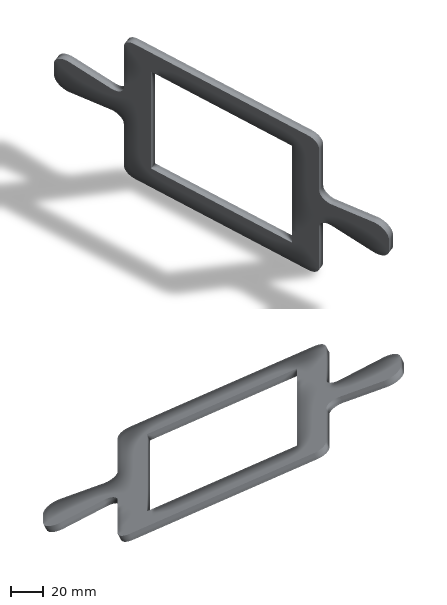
import cadquery as cq

overall_length = 243.5
thickness = 4.6

frame_side = 142.0
window_side = 102.2
frame_corner_radius = 8.0

root_width = 19.5
tip_width = 35.0
root_fillet_radius = 8.0
tip_corner_radius = 10.0


def extrude_centered(outline):
    """Extrude an XZ outline symmetrically about the XZ plane."""
    return outline.extrude(thickness / 2, both=True)


def make_handle(side):
    """Flared handle on the +X (side = 1) or -X (side = -1) edge of the frame."""
    root_x = side * frame_side / 2
    tip_x = side * overall_length / 2
    outline = cq.Workplane("XZ").polyline([
        (0, -root_width / 2),
        (root_x, -root_width / 2),
        (tip_x, -tip_width / 2),
        (tip_x, tip_width / 2),
        (root_x, root_width / 2),
        (0, root_width / 2),
    ]).close()
    handle = extrude_centered(outline)
    tip_face = ">X" if side > 0 else "<X"
    return handle.faces(tip_face).edges("|Y").fillet(tip_corner_radius)


def make_frame():
    """Solid square plate with rounded corners."""
    plate = extrude_centered(cq.Workplane("XZ").rect(frame_side, frame_side))
    return plate.edges("|Y").fillet(frame_corner_radius)


body = make_frame().union(make_handle(1)).union(make_handle(-1))

root_reach = frame_side / 2 + root_fillet_radius / 10
root_edges = cq.selectors.BoxSelector(
    (-root_reach, -thickness, -root_width),
    (root_reach, thickness, root_width),
)
body = body.edges("|Y").edges(root_edges).fillet(root_fillet_radius)

window = extrude_centered(cq.Workplane("XZ").rect(window_side, window_side))
result = body.cut(window)